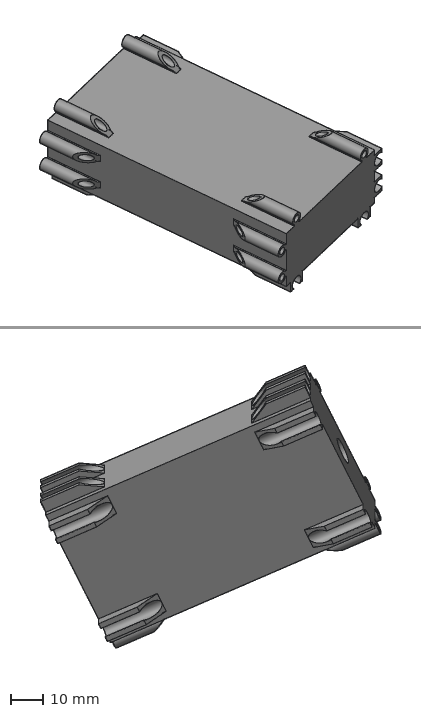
import cadquery as cq
import math

length = 90.0
width = 47.0
height = 22.0

end_hole_diameter = 8.3
end_hole_depth = 3.3

top_spacing = 36.0
side_spacing = 11.0
rail_length = 20.0
end_angle = math.radians(30)
axis_offset = 2.25
tube_diameter = 4.2
bore_diameter = 2.5
web_width = 2.5
clip_width = 6.5
clip_slot_diameter = 2 * axis_offset
clip_mouth = 3.0
clip_height = axis_offset + math.sqrt((clip_slot_diameter / 2) ** 2 - (clip_mouth / 2) ** 2)

tube_height = axis_offset + tube_diameter / 2


def sloped_outline(rail_height):
    """Side outline of a rail: full length at its foot, cut back at the end angle above."""
    slope_run = rail_height / math.tan(end_angle)
    return (
        cq.Workplane("XZ")
        .moveTo(-length / 2, 0)
        .lineTo(-length / 2 + rail_length, 0)
        .lineTo(-length / 2 + rail_length - slope_run, rail_height)
        .lineTo(-length / 2, rail_height)
        .close()
    )


def rod(diameter):
    """Round bar along X whose axis lies at the rail axis height."""
    return (
        cq.Workplane("YZ", origin=(-length / 2, 0, axis_offset))
        .circle(diameter / 2)
        .extrude(rail_length)
    )


def make_tube():
    """Bored tube on a narrow web, standing on the plane Z = 0 at the -X end."""
    web = (
        cq.Workplane("XY", origin=(-length / 2, 0, 0))
        .box(rail_length, web_width, axis_offset, centered=(False, True, False))
    )
    tube = rod(tube_diameter).union(web).cut(rod(bore_diameter))
    return tube.intersect(sloped_outline(tube_height).extrude(tube_diameter, both=True))


def make_clip():
    """Open round channel in a block, standing on the plane Z = 0 at the -X end."""
    block = sloped_outline(clip_height).extrude(clip_width / 2, both=True)
    return block.cut(rod(clip_slot_diameter))


def place_on_face(rail, face_distance, spacing, turn):
    """Two rails per end on one long face; turn is the rotation about X from the +Z face."""
    rails = []
    for side in (-1, 1):
        near = rail.translate((0, side * spacing / 2, face_distance))
        near = near.rotate((0, 0, 0), (1, 0, 0), turn)
        rails += [near, near.mirror("YZ")]
    return rails


block = cq.Workplane("XY").box(length, width, height)
end_hole = (
    cq.Workplane("YZ", origin=(-length / 2, 0, 0))
    .circle(end_hole_diameter / 2)
    .extrude(end_hole_depth)
)
result = block.cut(end_hole)

tube = make_tube()
clip = make_clip()
rails = (
    place_on_face(tube, height / 2, top_spacing, 0)
    + place_on_face(tube, width / 2, side_spacing, 90)
    + place_on_face(clip, height / 2, top_spacing, 180)
    + place_on_face(clip, width / 2, side_spacing, -90)
)
for rail in rails:
    result = result.union(rail)